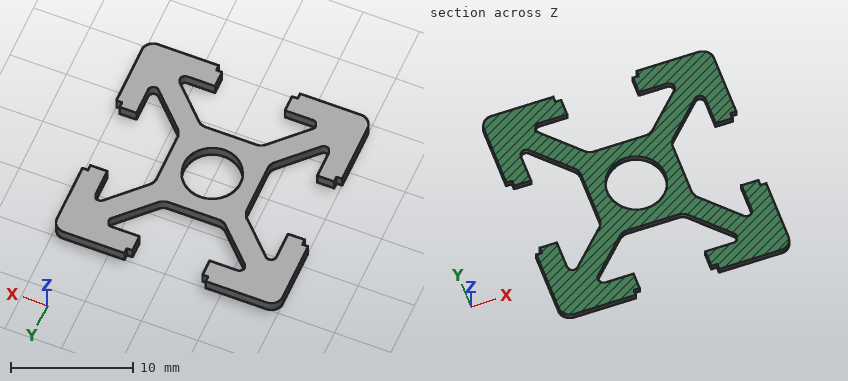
import cadquery as cq

side = 20.0
thickness = 1.0
outer_corner_radius = 1.0

hub_side = 8.0
bore_diameter = 5.0
hub_fillet_radius = 1.0

slot_opening = 6.2
lip_step = 0.5
flange_thickness = 2.0
spoke_edge_offset = 1.35
slot_root_radius = 0.45

half_side = side / 2
half_opening = slot_opening / 2
half_step_opening = half_opening + lip_step
step_floor = half_side - lip_step
flange_inner = half_side - flange_thickness
hub_face = hub_side / 2
root_half_width = flange_inner - spoke_edge_offset
hub_half_width = hub_face - spoke_edge_offset


def centered_box(width, depth, y_center):
    return cq.Workplane("XY").center(0, y_center).rect(width, depth).extrude(thickness)


def slot_cutter():
    """Slot open toward +Y: flared chamber with rounded corners, throat and stepped mouth."""
    chamber = (
        cq.Workplane("XY")
        .polyline([
            (-hub_half_width, hub_face),
            (hub_half_width, hub_face),
            (root_half_width, flange_inner),
            (-root_half_width, flange_inner),
        ])
        .close()
        .extrude(thickness)
    )
    chamber = chamber.edges("|Z and <Y").fillet(hub_fillet_radius)
    chamber = chamber.edges("|Z and >Y").fillet(slot_root_radius)
    throat = centered_box(slot_opening, flange_thickness, half_side - flange_thickness / 2)
    mouth = centered_box(2 * half_step_opening, lip_step, step_floor + lip_step / 2)
    return chamber.union(throat).union(mouth)


plate = cq.Workplane("XY").rect(side, side).extrude(thickness)
plate = plate.edges("|Z").fillet(outer_corner_radius)

slot = slot_cutter()
for quarter_turn in range(4):
    plate = plate.cut(slot.rotate((0, 0, 0), (0, 0, 1), 90 * quarter_turn))

bore = cq.Workplane("XY").circle(bore_diameter / 2).extrude(thickness)
result = plate.cut(bore)